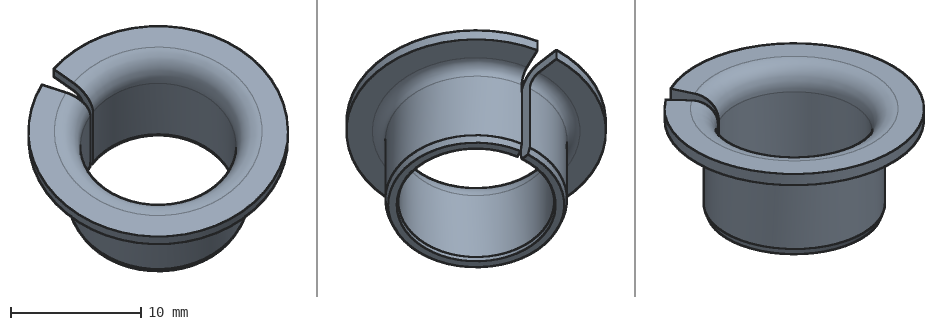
import cadquery as cq
import math

flange_radius = 9.96
height = 9.0
wall = 1.0
bore_radius = 5.98
throat_radius = 2 * wall
chamfer_height = 0.6
chamfer_angle = 20.0
inner_chamfer_height = 0.34
slit_inner_half_width = 0.2
slit_half_angle = 9.5

sleeve_radius = bore_radius + wall
bend_radius = throat_radius - wall
bend_center_r = bore_radius + throat_radius
bend_center_z = height - throat_radius
chamfer_slope = math.tan(math.radians(chamfer_angle))
chamfer_width = chamfer_height * chamfer_slope
inner_chamfer_width = inner_chamfer_height * chamfer_slope
diagonal = math.sqrt(0.5)


def make_body():
    """Revolve the wall section (radius, Z) about the Z axis."""
    section = (
        cq.Workplane("XZ")
        .moveTo(bore_radius + inner_chamfer_width, 0)
        .lineTo(sleeve_radius - chamfer_width, 0)
        .lineTo(sleeve_radius, chamfer_height)
        .lineTo(sleeve_radius, bend_center_z)
        .threePointArc(
            (bend_center_r - bend_radius * diagonal, bend_center_z + bend_radius * diagonal),
            (bend_center_r, height - wall),
        )
        .lineTo(flange_radius, height - wall)
        .lineTo(flange_radius, height)
        .lineTo(bend_center_r, height)
        .threePointArc(
            (bend_center_r - throat_radius * diagonal, bend_center_z + throat_radius * diagonal),
            (bore_radius, bend_center_z),
        )
        .lineTo(bore_radius, inner_chamfer_height)
        .close()
    )
    return section.revolve(360, (0, 0, 0), (0, 1, 0)).rotate((0, 0, 0), (0, 0, 1), 180)


def make_slit():
    """Wedge through the wall on the -X side, widening outwards."""
    reach = flange_radius + wall
    slope = math.tan(math.radians(slit_half_angle))
    outer_half_width = slit_inner_half_width + (reach - bore_radius) * slope
    apex_x = -bore_radius + slit_inner_half_width / slope
    wedge = [(apex_x, 0), (-reach, outer_half_width), (-reach, -outer_half_width)]
    return cq.Workplane("XY").polyline(wedge).close().extrude(height)


result = make_body().cut(make_slit())